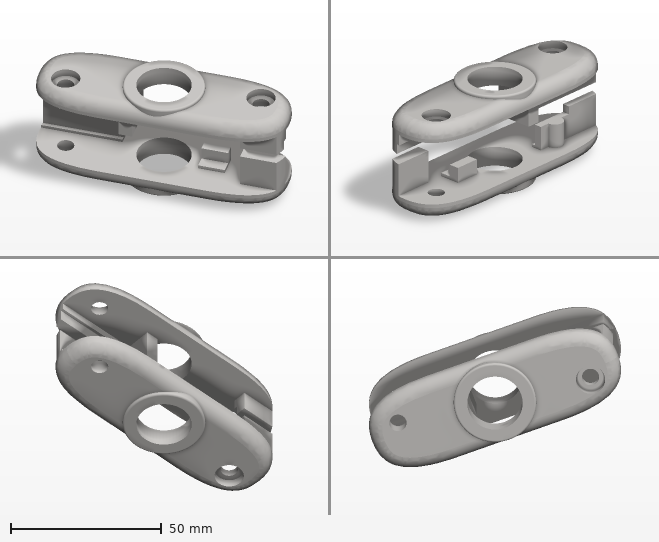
import cadquery as cq

HALF_LENGTH = 43.4
WIDTH = 29.4
STRAIGHT_HALF = 19.1
SIDE_HANDLE = 40.8
END_HANDLE = 6.95

INNER_Z = 11.3
PLATE_THICKNESS = 5.7
EDGE_RADIUS = 4.4
COLLAR_Z = 18.15
TOTAL_THICKNESS = COLLAR_Z - INNER_Z

BORE_RADIUS = 9.2
COLLAR_RADIUS = 13.7
COLLAR_EDGE_RADIUS = 0.7

LEFT_SCREW = (-32.7, -4.3)
RIGHT_SCREW = (32.5, 3.65)
SCREW_POINTS = [LEFT_SCREW, RIGHT_SCREW]
SCREW_RADIUS = 2.9
HEAD_RADIUS = 4.9
HEAD_SEAT = 3.0
LOWER_HEAD_SEAT = 2.7

LEFT_WALL_BACK = 6.7
LEFT_END = -HALF_LENGTH

RIGHT_WALL_START = 28.65
RIGHT_WALL_FRONT = -8.1
RIGHT_END = HALF_LENGTH

BLOCK_X = (-13.7, -9.0)
BLOCK_HALF_WIDTH = 6.9
BLOCK_BOTTOM = -0.4
UPPER_LEDGE_FRONT = 2.2
UPPER_LEDGE_BOTTOM = 8.7
UPPER_RIB_FRONT = 3.2
UPPER_RIB_BOTTOM = 4.5
UPPER_RIGHT_BACK = -4.5
UPPER_RIGHT_BOTTOM = 3.8
UPPER_RIGHT_LEDGE_BACK = -3.3
UPPER_RIGHT_LEDGE_BOTTOM = 7.4

LOWER_LEFT_STOP = -15.1
LOWER_STEP_X = -28.7
LOWER_RIB_FRONT = 4.0
LOWER_RIB_TOP = 0.2
LOWER_STEP_TOP = -2.7
LOWER_LEDGE_FRONT = 2.7
LOWER_LEDGE_TOP = -10.25
LOWER_RIGHT_BACK = -3.6
LOWER_RIGHT_TOP = 0.35
POST_RADIUS = 3.1
BRACKET_X = (12.9, 22.1)
BRACKET_BACK = 3.8
BRACKET_WALL_FRONT = 0.1
BRACKET_FOOT_FRONT = -3.8
BRACKET_TOP = -5.8
BRACKET_FOOT_TOP = -10.1


def outline_prism(bottom, height):
    """Long rounded outline, extruded upward from the given level."""
    half_width = WIDTH / 2
    upper_curve = [
        (STRAIGHT_HALF, half_width),
        (SIDE_HANDLE, half_width),
        (HALF_LENGTH, END_HANDLE),
        (HALF_LENGTH, 0),
    ]
    to_right_end = upper_curve
    from_right_end = [(x, -y) for x, y in reversed(upper_curve)]
    to_left_end = [(-x, -y) for x, y in upper_curve]
    from_left_end = [(-x, y) for x, y in reversed(upper_curve)]
    return (
        cq.Workplane("XY", origin=(0, 0, bottom))
        .moveTo(-STRAIGHT_HALF, half_width)
        .lineTo(STRAIGHT_HALF, half_width)
        .bezier(to_right_end)
        .bezier(from_right_end)
        .lineTo(-STRAIGHT_HALF, -half_width)
        .bezier(to_left_end)
        .bezier(from_left_end)
        .close()
        .extrude(height)
    )


def cylinder(center, radius, bottom, height):
    return (
        cq.Workplane("XY", origin=(center[0], center[1], bottom))
        .circle(radius)
        .extrude(height)
    )


def box(x_range, y_range, z_range):
    """Box between the given limits on each axis."""
    start = (x_range[0], y_range[0], z_range[0])
    size = (x_range[1] - x_range[0], y_range[1] - y_range[0], z_range[1] - z_range[0])
    return cq.Workplane("XY", origin=start).box(*size, centered=False)


def collared_plate():
    """Plate with its rounded face and collar upward, before any holes."""
    plate = outline_prism(INNER_Z, PLATE_THICKNESS).faces(">Z").edges().fillet(EDGE_RADIUS)
    collar = cylinder((0, 0), COLLAR_RADIUS, INNER_Z, TOTAL_THICKNESS)
    collar = collar.faces(">Z").edges().fillet(COLLAR_EDGE_RADIUS)
    return plate.union(collar)


def within_outline(walls):
    """Join walls and trim their ends to the outline of the plates."""
    joined = walls[0]
    for wall in walls[1:]:
        joined = joined.union(wall)
    return joined.intersect(outline_prism(-INNER_Z, 2 * INNER_Z))


def cut_holes(plate, bottom):
    """Cut the central opening and the plain screw holes through a plate."""
    plate = plate.cut(cylinder((0, 0), BORE_RADIUS, bottom, TOTAL_THICKNESS))
    for point in SCREW_POINTS:
        plate = plate.cut(cylinder(point, SCREW_RADIUS, bottom, TOTAL_THICKNESS))
    return plate


def upper_walls():
    """Walls that hang below the upper plate."""
    left_x = (LEFT_END, BLOCK_X[0])
    right_x = (RIGHT_WALL_START, RIGHT_END)
    right_y = (RIGHT_WALL_FRONT, UPPER_RIGHT_BACK)
    right_ledge_y = (RIGHT_WALL_FRONT, UPPER_RIGHT_LEDGE_BACK)
    return within_outline([
        box(BLOCK_X, (-BLOCK_HALF_WIDTH, BLOCK_HALF_WIDTH), (BLOCK_BOTTOM, INNER_Z)),
        box(left_x, (UPPER_LEDGE_FRONT, LEFT_WALL_BACK), (UPPER_LEDGE_BOTTOM, INNER_Z)),
        box(left_x, (UPPER_RIB_FRONT, LEFT_WALL_BACK), (UPPER_RIB_BOTTOM, INNER_Z)),
        box(right_x, right_y, (UPPER_RIGHT_BOTTOM, INNER_Z)),
        box(right_x, right_ledge_y, (UPPER_RIGHT_LEDGE_BOTTOM, INNER_Z)),
    ])


def lower_walls():
    """Walls, post and bracket that stand on the lower plate."""
    left_x = (LEFT_END, LOWER_LEFT_STOP)
    rib_y = (LOWER_RIB_FRONT, LEFT_WALL_BACK)
    ledge_y = (LOWER_LEDGE_FRONT, LEFT_WALL_BACK)
    right_y = (RIGHT_WALL_FRONT, LOWER_RIGHT_BACK)
    post_center = ((LOWER_STEP_X + LOWER_LEFT_STOP) / 2, LEFT_WALL_BACK)
    post = cylinder(post_center, POST_RADIUS, -INNER_Z, LOWER_STEP_TOP + INNER_Z)
    post = post.intersect(
        box(left_x, (LEFT_WALL_BACK, WIDTH / 2), (-INNER_Z, LOWER_STEP_TOP))
    )
    return within_outline([
        box((LEFT_END, LOWER_STEP_X), rib_y, (-INNER_Z, LOWER_RIB_TOP)),
        box(left_x, rib_y, (-INNER_Z, LOWER_STEP_TOP)),
        box(left_x, ledge_y, (-INNER_Z, LOWER_LEDGE_TOP)),
        post,
        box((RIGHT_WALL_START, RIGHT_END), right_y, (-INNER_Z, LOWER_RIGHT_TOP)),
        box(BRACKET_X, (BRACKET_WALL_FRONT, BRACKET_BACK), (-INNER_Z, BRACKET_TOP)),
        box(BRACKET_X, (BRACKET_FOOT_FRONT, BRACKET_BACK), (-INNER_Z, BRACKET_FOOT_TOP)),
    ])


def make_upper_cover():
    """Upper cover, with recesses for the screw heads."""
    plate = cut_holes(collared_plate(), INNER_Z)
    head_floor = INNER_Z + HEAD_SEAT
    for point in SCREW_POINTS:
        plate = plate.cut(cylinder(point, HEAD_RADIUS, head_floor, TOTAL_THICKNESS))
    return plate.union(upper_walls())


def make_lower_cover():
    """Lower cover, collar downward, with a head recess at the right screw only."""
    plate = cut_holes(collared_plate().mirror("XY"), -COLLAR_Z)
    recess_height = TOTAL_THICKNESS - LOWER_HEAD_SEAT
    plate = plate.cut(cylinder(RIGHT_SCREW, HEAD_RADIUS, -COLLAR_Z, recess_height))
    return plate.union(lower_walls())


upper_cover = make_upper_cover()
lower_cover = make_lower_cover()

result = cq.Compound.makeCompound([upper_cover.val(), lower_cover.val()])